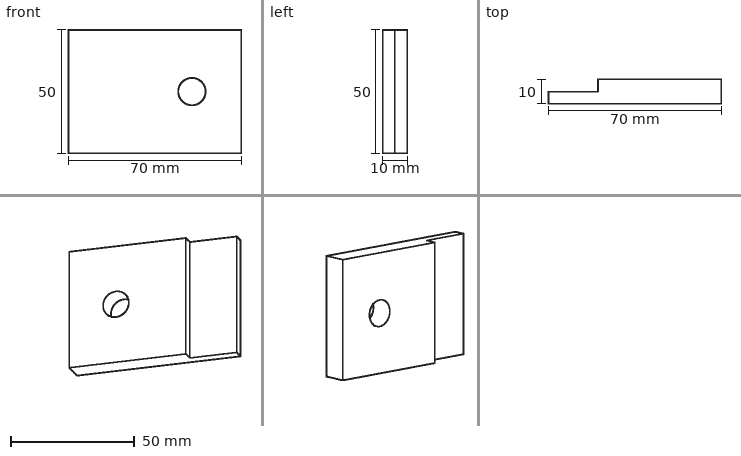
import cadquery as cq

length = 70.0
thickness = 10.0
height = 50.0

tongue_length = 20.0
tongue_thickness = thickness / 2

hole_diameter = 11.0
hole_to_right_end = 20.0
hole_x = length - hole_to_right_end
hole_z = height / 2


def stepped_plate():
    """L-shaped step profile in XY, extruded upward; the front face lies on Y = 0."""
    return (
        cq.Workplane("XY")
        .moveTo(0, 0)
        .lineTo(length, 0)
        .lineTo(length, thickness)
        .lineTo(tongue_length, thickness)
        .lineTo(tongue_length, tongue_thickness)
        .lineTo(0, tongue_thickness)
        .close()
        .extrude(height)
    )


def hole_cutter():
    """Cylinder along Y through the full thickness."""
    return (
        cq.Workplane("XZ")
        .center(hole_x, hole_z)
        .circle(hole_diameter / 2)
        .extrude(-thickness)
    )


result = stepped_plate().cut(hole_cutter())